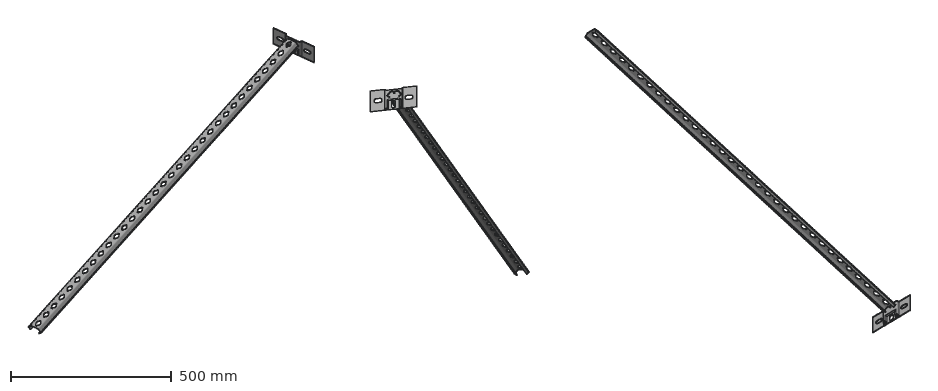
import cadquery as cq
import math

LENGTH = 1492.0
PLATE_WIDTH = 150.0
PLATE_HEIGHT = 70.0
PLATE_TOP = PLATE_HEIGHT / 2
PLATE_BOTTOM = -PLATE_TOP

HEAD_SHEET = 3.0
PRESS_DEPTH = 10.0
PRESS_WIDTH_REAR = 63.0
PRESS_WIDTH_FRONT = 55.0
PRESS_BEND_RADIUS = 5.0
POCKET_WIDTH_REAR = 33.0
POCKET_WIDTH_FRONT = 39.0
POCKET_TOP = -3.0

HEAD_SLOT_WIDTH = 13.0
WING_SLOT_SPACING = 100.0
WING_SLOT_LENGTH = 25.0
CENTRE_SLOT_LENGTH = 24.0
CENTRE_SLOT_Z = -18.0
VENT_DIAMETER = 5.0
VENT_Z = 24.0

RAIL_TOP = PLATE_TOP - 5.0
RAIL_HEIGHT = 21.0
RAIL_SHEET = 3.0
RAIL_LENGTH = LENGTH - PRESS_DEPTH
SHOULDER_DROP = 13.0
WEB_HALF = 28.0 / 2
RAIL_HALF = 49.0 / 2
MOUTH_HALF = 33.0 / 2
RAIL_BEND_RADIUS = 5.2

SLOT_COUNT = 33
FIRST_SLOT = 31.0
SLOT_RUN = 1440.0
SLOT_PITCH = SLOT_RUN / (SLOT_COUNT - 1)
SLOT_LENGTH = 18.0
SLOT_WIDTH = 13.0
NOTCH_LENGTH = 25.0
NOTCH_WIDTH = 5.0

THROUGH = PLATE_HEIGHT


def tapered_prism(rear_width, front_width, depth, height):
    """Upright prism on the bottom of the plate, going from Y = 0 to Y = -depth."""
    rear = rear_width / 2
    front = front_width / 2
    plan = [(-rear, 0), (-front, -depth), (front, -depth), (rear, 0)]
    base = cq.Workplane("XY", origin=(0, 0, PLATE_BOTTOM))
    return base.polyline(plan).close().extrude(height)


def pressed_shape(inset):
    """Outside of the pressed area, or its hollow when inset by the sheet thickness."""
    depth = PRESS_DEPTH - inset
    block = tapered_prism(PRESS_WIDTH_REAR - 2 * inset, PRESS_WIDTH_FRONT - 2 * inset, depth, PLATE_HEIGHT)
    block = block.edges("|Z and <Y").fillet(PRESS_BEND_RADIUS - inset)

    corner = [(0, PLATE_BOTTOM), (-depth, PLATE_BOTTOM), (-depth, PLATE_BOTTOM + depth)]
    run_out = cq.Workplane("YZ").polyline(corner).close().extrude(PRESS_WIDTH_REAR, both=True)

    pocket_height = POCKET_TOP + inset - PLATE_BOTTOM
    pocket = tapered_prism(
        POCKET_WIDTH_REAR + 2 * inset, POCKET_WIDTH_FRONT + 2 * inset, depth, pocket_height
    )
    return block.cut(run_out).cut(pocket)


def head_slot(x, z, length, angle):
    plane = cq.Workplane("XZ", origin=(x, 0, z))
    return plane.slot2D(length, HEAD_SLOT_WIDTH, angle).extrude(THROUGH, both=True)


def make_head():
    plate = cq.Workplane("XY").box(PLATE_WIDTH, HEAD_SHEET, PLATE_HEIGHT)
    plate = plate.translate((0, -HEAD_SHEET / 2, 0))
    body = plate.union(pressed_shape(0)).cut(pressed_shape(HEAD_SHEET))

    for x in (-WING_SLOT_SPACING / 2, WING_SLOT_SPACING / 2):
        body = body.cut(head_slot(x, 0, WING_SLOT_LENGTH, 0))
    body = body.cut(head_slot(0, CENTRE_SLOT_Z, CENTRE_SLOT_LENGTH, 90))

    vent = cq.Workplane("XZ", origin=(0, 0, VENT_Z)).circle(VENT_DIAMETER / 2)
    return body.cut(vent.extrude(THROUGH, both=True))


def make_rail_strip():
    shoulder = RAIL_TOP - SHOULDER_DROP
    bottom = RAIL_TOP - RAIL_HEIGHT
    outer_half = [(WEB_HALF, RAIL_TOP), (RAIL_HALF, shoulder), (MOUTH_HALF, bottom)]

    wall_angle = math.atan2(SHOULDER_DROP, RAIL_HALF - WEB_HALF)
    lip_angle = math.atan2(RAIL_HEIGHT - SHOULDER_DROP, RAIL_HALF - MOUTH_HALF)
    inner_top = RAIL_TOP - RAIL_SHEET
    inner_web = WEB_HALF - RAIL_SHEET * math.tan(wall_angle / 2)
    reach = RAIL_SHEET / math.sin((wall_angle + lip_angle) / 2)
    tilt = (wall_angle - lip_angle) / 2
    inner_half = [
        (MOUTH_HALF - RAIL_SHEET * math.sin(lip_angle), bottom + RAIL_SHEET * math.cos(lip_angle)),
        (RAIL_HALF - reach * math.cos(tilt), shoulder + reach * math.sin(tilt)),
        (inner_web, inner_top),
    ]

    right_half = outer_half + inner_half
    left_half = [(-x, z) for x, z in reversed(right_half)]
    start = cq.Workplane("XZ", origin=(0, -PRESS_DEPTH, 0))
    strip = start.polyline(right_half + left_half).close().extrude(RAIL_LENGTH)

    middle = -PRESS_DEPTH - RAIL_LENGTH / 2
    bends = (
        (WEB_HALF, RAIL_TOP, RAIL_BEND_RADIUS),
        (inner_web, inner_top, RAIL_BEND_RADIUS - RAIL_SHEET),
    )
    for half, z, radius in bends:
        for x in (-half, half):
            corner = cq.selectors.NearestToPointSelector((x, middle, z))
            strip = strip.edges("|Y").edges(corner).fillet(radius)
    return strip


def make_rail():
    centres = [(0, -FIRST_SLOT - i * SLOT_PITCH) for i in range(SLOT_COUNT)]
    below_web = cq.Workplane("XY", origin=(0, 0, RAIL_TOP - 2 * RAIL_SHEET)).pushPoints(centres)
    slots = below_web.slot2D(SLOT_LENGTH, SLOT_WIDTH, 90).extrude(THROUGH)
    notches = below_web.rect(NOTCH_WIDTH, NOTCH_LENGTH).extrude(THROUGH)
    return make_rail_strip().cut(slots).cut(notches)


head = make_head()
rail = make_rail()

result = cq.Compound.makeCompound([head.val(), rail.val()])